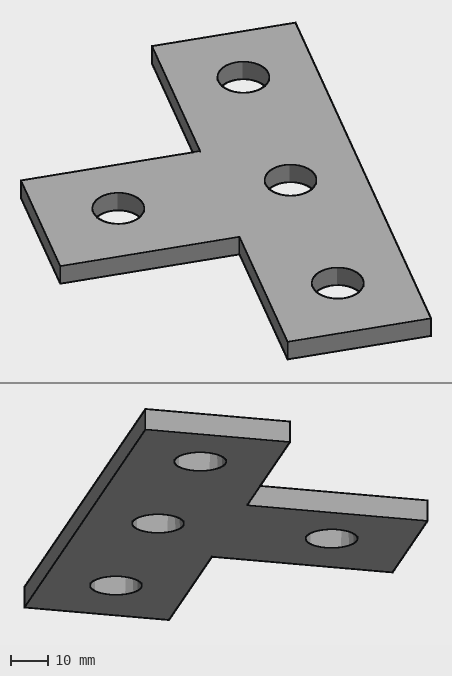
import cadquery as cq

bar_length = 138.0
bar_width = 40.0
stem_width = 40.0
overall_depth = 90.0
thickness = 6.0

hole_diameter = 14.0
hole_spacing = 48.0
end_margin = bar_width / 2

stem_center_x = bar_length / 2
bar_center_y = -bar_width / 2

bar = cq.Workplane("XY").box(bar_length, bar_width, thickness, centered=False).translate((0, -bar_width, 0))
stem = (
    cq.Workplane("XY")
    .box(stem_width, overall_depth, thickness, centered=False)
    .translate((stem_center_x - stem_width / 2, -overall_depth, 0))
)
plate = bar.union(stem).clean()

bar_holes = [(end_margin + i * hole_spacing, bar_center_y) for i in range(3)]
middle_hole_x = end_margin + hole_spacing
stem_hole = (middle_hole_x, bar_center_y - hole_spacing)

hole_cutters = (
    cq.Workplane("XY")
    .pushPoints(bar_holes + [stem_hole])
    .circle(hole_diameter / 2)
    .extrude(thickness)
)

result = plate.cut(hole_cutters)